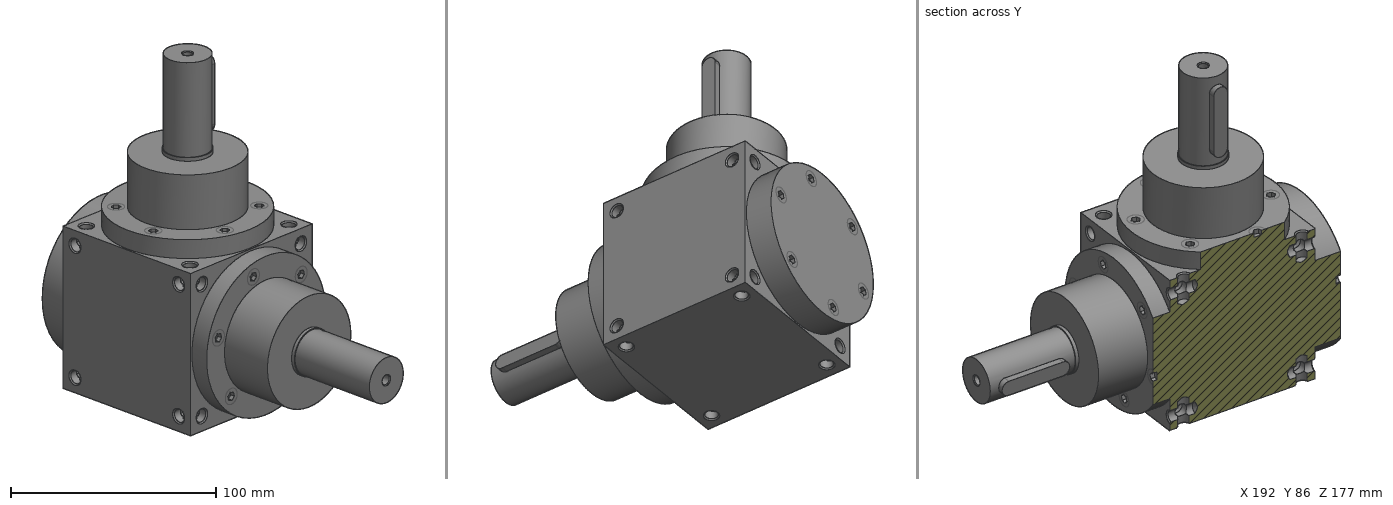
import cadquery as cq
import math

CASE_SIDE = 86.0
CASE_HALF = CASE_SIDE / 2

FLANGE_DIA = 84.0
FLANGE_FACE = 53.0
HUB_DIA = 59.0
HUB_FACE = 82.0
COLLAR_DIA = 25.0
COLLAR_FACE = 84.0
SHAFT_DIA = 24.0
SHAFT_END = 134.0
SHAFT_STEPS = [
    (FLANGE_DIA, FLANGE_FACE),
    (HUB_DIA, HUB_FACE),
    (COLLAR_DIA, COLLAR_FACE),
    (SHAFT_DIA, SHAFT_END),
]

OVERALL_LENGTH = 192.0
COVER_FACE = OVERALL_LENGTH - SHAFT_END

MOUNT_HOLE_DIA = 6.7
MOUNT_SINK_DIA = 8.0
MOUNT_HOLE_DEPTH = 15.0
MOUNT_HOLE_OFFSET = 35.0

CENTRE_HOLE_DIA = 5.0
CENTRE_SINK_DIA = 6.0
CENTRE_HOLE_DEPTH = 12.5

DRILL_TIP_ANGLE = 118.0
SINK_ANGLE = 90.0

SCREW_COUNT = 6
SCREW_CIRCLE_RADIUS = 35.0
SCREW_START_ANGLE = 45.0
SCREW_HEAD_DIA = 8.5
SCREW_HEAD_HEIGHT = 5.0
SOCKET_ACROSS_FLATS = 4.0
SOCKET_ACROSS_CORNERS = SOCKET_ACROSS_FLATS / math.cos(math.radians(30))
SOCKET_DEPTH = 2.5

KEY_WIDTH = 8.0
KEY_LENGTH = 40.0
KEY_START = 89.0
KEY_BOTTOM = 8.0
KEY_TOP = 15.0

UP = cq.Plane.XY()
DOWN = cq.Plane(origin=(0, 0, 0), xDir=(1, 0, 0), normal=(0, 0, -1))
FRONT = cq.Plane(origin=(0, 0, 0), xDir=(1, 0, 0), normal=(0, -1, 0))
BACK = cq.Plane(origin=(0, 0, 0), xDir=(-1, 0, 0), normal=(0, 1, 0))
LEFT = cq.Plane(origin=(0, 0, 0), xDir=(0, -1, 0), normal=(-1, 0, 0))
RIGHT = cq.Plane(origin=(0, 0, 0), xDir=(0, 1, 0), normal=(1, 0, 0))
CASE_SIDES = [UP, DOWN, FRONT, BACK, LEFT, RIGHT]
SHAFT_SIDES = [UP, RIGHT]


def cylinder(plane, diameter, end):
    """Cylinder along the plane's normal, from the origin out to the given distance."""
    return cq.Workplane(plane).circle(diameter / 2).extrude(end)


def blind_holes(plane, points, face, hole_dia, sink_dia, depth):
    """Countersunk drilled holes with conical tips, entering at the given distance from the origin."""
    hole_radius = hole_dia / 2
    sink_radius = sink_dia / 2
    sink_depth = (sink_radius - hole_radius) / math.tan(math.radians(SINK_ANGLE / 2))
    tip_depth = hole_radius / math.tan(math.radians(DRILL_TIP_ANGLE / 2))
    profile = (
        cq.Workplane("XZ")
        .moveTo(0, 0)
        .lineTo(sink_radius, 0)
        .lineTo(hole_radius, -sink_depth)
        .lineTo(hole_radius, -depth)
        .lineTo(0, -depth - tip_depth)
        .close()
    )
    cutter = profile.revolve(360, (0, 0, 0), (0, 1, 0)).val()
    return (
        cq.Workplane(plane)
        .workplane(offset=face)
        .pushPoints(points)
        .eachpoint(lambda place: cutter.moved(place), useLocalCoordinates=True, combine=False)
    )


def screw_positions(plane, face):
    """Screw locations on a bolt circle, one socket corner of each pointing outward."""
    return (
        cq.Workplane(plane)
        .workplane(offset=face)
        .polarArray(SCREW_CIRCLE_RADIUS, SCREW_START_ANGLE, 360, SCREW_COUNT)
    )


def make_key(plane):
    """Round-ended key on the +Y side of the shaft that runs along the plane's normal."""
    shaft_axis = plane.zDir
    key_plane = cq.Plane(origin=(0, 0, 0), xDir=shaft_axis, normal=(0, 1, 0))
    return (
        cq.Workplane(key_plane)
        .workplane(offset=KEY_BOTTOM)
        .center(KEY_START + KEY_LENGTH / 2, 0)
        .slot2D(KEY_LENGTH, KEY_WIDTH)
        .extrude(KEY_TOP - KEY_BOTTOM)
    )


def gearbox_outside():
    """Case with a stepped shaft on two sides and the blind cover on the left."""
    body = cq.Workplane().box(CASE_SIDE, CASE_SIDE, CASE_SIDE)
    for side in SHAFT_SIDES:
        for diameter, end in SHAFT_STEPS:
            body = body.union(cylinder(side, diameter, end))
    return body.union(cylinder(LEFT, FLANGE_DIA, COVER_FACE))


def cut_centre_holes(body):
    """Drill the centre hole in each shaft end."""
    for side in SHAFT_SIDES:
        body = body.cut(
            blind_holes(side, [(0, 0)], SHAFT_END, CENTRE_HOLE_DIA, CENTRE_SINK_DIA, CENTRE_HOLE_DEPTH)
        )
    return body


def cut_mount_holes(body):
    """Drill four mounting holes in every case face; near each case corner three of them meet."""
    offsets = (-MOUNT_HOLE_OFFSET, MOUNT_HOLE_OFFSET)
    corners = [(x, y) for x in offsets for y in offsets]
    for side in CASE_SIDES:
        body = body.cut(
            blind_holes(side, corners, CASE_HALF, MOUNT_HOLE_DIA, MOUNT_SINK_DIA, MOUNT_HOLE_DEPTH)
        )
    return body


def add_screws(body, plane, face):
    """Add socket screws whose heads are flush; unions without cleaning keep each head's outline."""
    heads = screw_positions(plane, face).circle(SCREW_HEAD_DIA / 2).extrude(-SCREW_HEAD_HEIGHT)
    sockets = screw_positions(plane, face).polygon(6, SOCKET_ACROSS_CORNERS).extrude(-SOCKET_DEPTH)
    return body.union(heads, clean=False).cut(sockets, clean=False)


def make_gearbox(keys):
    """Case, flanges, hubs, shafts, cover and screws as one body, with a keyway for each key."""
    body = gearbox_outside()
    body = cut_centre_holes(body)
    body = cut_mount_holes(body)
    for key in keys:
        body = body.cut(key)
    for side in SHAFT_SIDES:
        body = add_screws(body, side, FLANGE_FACE)
    return add_screws(body, LEFT, COVER_FACE)


keys = [make_key(side) for side in SHAFT_SIDES]
gearbox = make_gearbox(keys)

result = cq.Compound.makeCompound([gearbox.val(), *[key.val() for key in keys]])